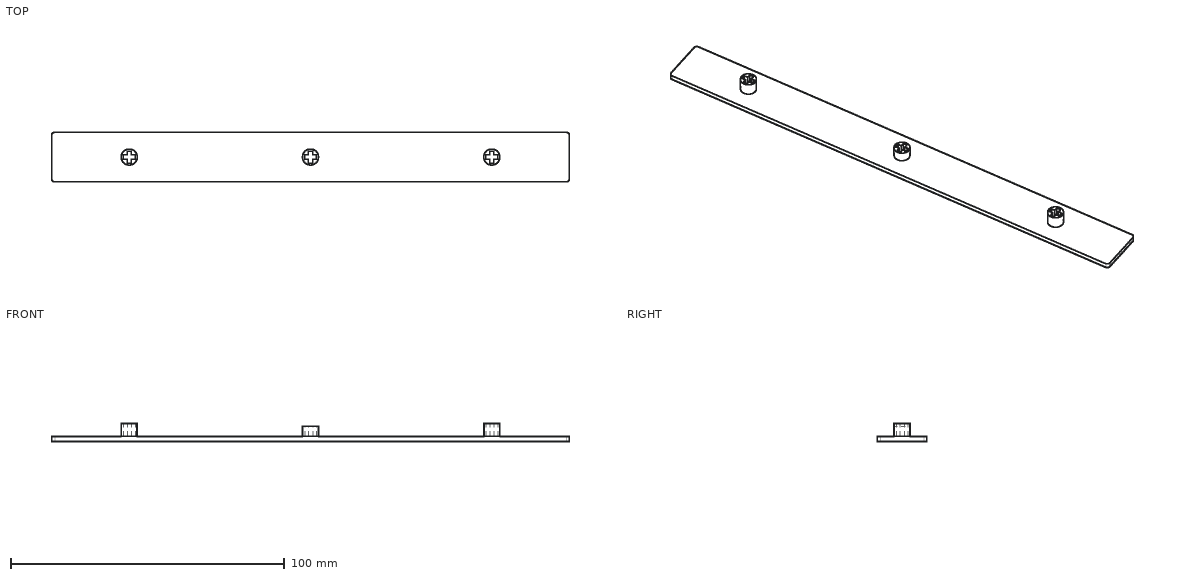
import cadquery as cq

LENGTH = 189.6
WIDTH = 18.2
THICKNESS = 1.9
CORNER_RADIUS = 1.1

STUD_DIAMETER = 5.9
STUD_SPACING = 66.4
OUTER_STUD_HEIGHT = 4.7
MIDDLE_STUD_HEIGHT = 3.8

CROSS_LENGTH = 4.4
CROSS_SLOT_WIDTH = 1.5


def make_strip():
    """Flat strip with rounded vertical corners, resting on Z = 0."""
    strip = cq.Workplane("XY").box(LENGTH, WIDTH, THICKNESS, centered=(True, True, False))
    return strip.edges("|Z").fillet(CORNER_RADIUS)


def make_stud(x, height):
    """Round stud whose cross-shaped recess reaches down to the strip."""
    base = cq.Workplane("XY", origin=(x, 0, THICKNESS))
    stud = base.circle(STUD_DIAMETER / 2).extrude(height)
    along_x = base.rect(CROSS_LENGTH, CROSS_SLOT_WIDTH).extrude(height)
    along_y = base.rect(CROSS_SLOT_WIDTH, CROSS_LENGTH).extrude(height)
    return stud.cut(along_x).cut(along_y)


result = make_strip()
for x, height in (
    (-STUD_SPACING, OUTER_STUD_HEIGHT),
    (0, MIDDLE_STUD_HEIGHT),
    (STUD_SPACING, OUTER_STUD_HEIGHT),
):
    result = result.union(make_stud(x, height))